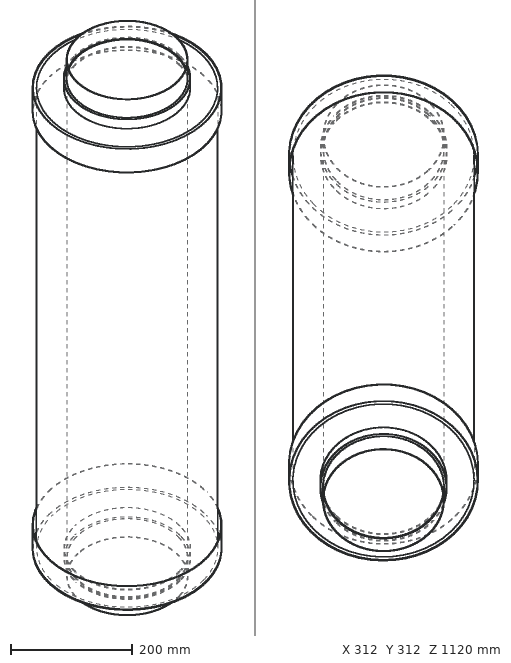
import cadquery as cq
total_length = 1120.0
cap_diameter = 312.0
jacket_diameter = 299.0
collar_diameter = 210.0
spigot_diameter = 200.0
spigot_length = 39.0
collar_height = 20.0
skirt_height = 52.0
sheet = 1.0

cap_radius = cap_diameter / 2
jacket_radius = jacket_diameter / 2
collar_radius = collar_diameter / 2
spigot_radius = spigot_diameter / 2
bore_radius = spigot_radius - sheet
neck_radius = collar_radius - sheet

spigot_end_z = total_length / 2
collar_top_z = spigot_end_z - spigot_length
plate_top_z = collar_top_z - collar_height
neck_end_z = collar_top_z - sheet
jacket_end_z = plate_top_z - sheet
skirt_base_z = plate_top_z - skirt_height


def centred_cylinder(radius, half_length):
    """Make a solid cylinder about the Z axis, centred on the origin."""
    return cq.Workplane("XY").workplane(offset=-half_length).circle(radius).extrude(2 * half_length)


def make_jacket():
    """Thick-walled tube with a short neck at each end that fills the cap collar."""
    jacket = centred_cylinder(jacket_radius, jacket_end_z)
    necks = centred_cylinder(neck_radius, neck_end_z)
    bore = centred_cylinder(bore_radius, neck_end_z)
    return jacket.union(necks).cut(bore)


def make_upper_cap():
    """Sheet cap: spigot, stepped collar, flat end plate and skirt around the jacket."""
    profile = [
        (spigot_radius, spigot_end_z),
        (spigot_radius, collar_top_z),
        (collar_radius, collar_top_z),
        (collar_radius, plate_top_z),
        (cap_radius, plate_top_z),
        (cap_radius, skirt_base_z),
        (cap_radius - sheet, skirt_base_z),
        (cap_radius - sheet, jacket_end_z),
        (neck_radius, jacket_end_z),
        (neck_radius, neck_end_z),
        (bore_radius, neck_end_z),
        (bore_radius, spigot_end_z),
    ]
    return cq.Workplane("XZ").polyline(profile).close().revolve(360, (0, 0, 0), (0, 1, 0))


jacket = make_jacket()
upper_cap = make_upper_cap()
end_caps = [upper_cap, upper_cap.mirror("XY")]

result = cq.Compound.makeCompound([jacket.val(), *[cap.val() for cap in end_caps]])